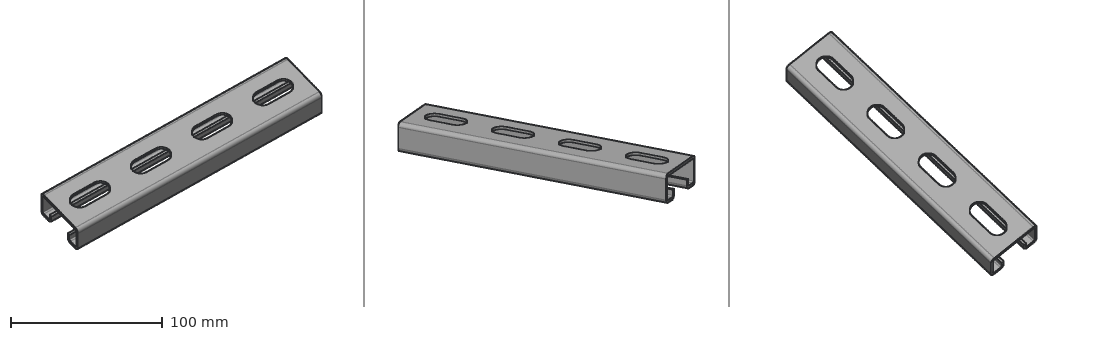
import cadquery as cq

length = 200.0
width = 41.0
height = 21.0
wall = 2.0
outer_radius = 3.0
inner_radius = outer_radius - wall

opening = 18.0
lip_height = 7.0

slot_count = 4
slot_length = 30.0
slot_width = 13.0
slot_pitch = length / slot_count


def bar(bar_width, bar_height, bottom, radius):
    """Full-length bar with rounded lengthwise edges, centred on X and Y."""
    block = cq.Workplane("XY").box(bar_width, length, bar_height, centered=(True, True, False))
    return block.edges("|Y").fillet(radius).translate((0, 0, bottom))


def lip(side):
    """Flange return: a rounded J-shaped hook at the foot of one side wall."""
    outer_x = width / 2
    inner_x = opening / 2
    section = (
        cq.Workplane("XZ", origin=(0, length / 2, 0))
        .moveTo(side * (outer_x - outer_radius), 0)
        .lineTo(side * (inner_x + outer_radius), 0)
        .radiusArc((side * inner_x, outer_radius), side * outer_radius)
        .lineTo(side * inner_x, lip_height)
        .lineTo(side * (inner_x + wall), lip_height)
        .lineTo(side * (inner_x + wall), outer_radius)
        .radiusArc((side * (inner_x + outer_radius), wall), -side * inner_radius)
        .lineTo(side * (outer_x - outer_radius), wall)
        .close()
    )
    return section.extrude(length)


def channel():
    """Rounded tube opened at the bottom, with a lip on each side."""
    outside = bar(width, height, 0, outer_radius)
    inside = bar(width - 2 * wall, height - 2 * wall, wall, inner_radius)
    mouth = cq.Workplane("XY").box(
        width - 2 * outer_radius, length, wall, centered=(True, True, False)
    )
    return outside.cut(inside).cut(mouth).union(lip(-1)).union(lip(1))


def slots():
    """Row of round-ended cutters, evenly pitched along the web."""
    return (
        cq.Workplane("XY", origin=(0, 0, height - wall))
        .rarray(2, slot_pitch, 1, slot_count)
        .slot2D(slot_length, slot_width, 90)
        .extrude(wall)
    )


result = channel().cut(slots()).translate((0, 0, -height / 2))